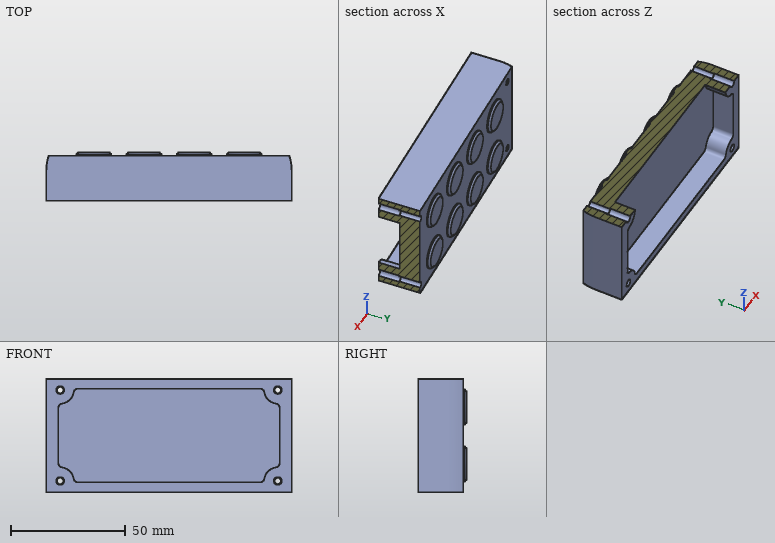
import cadquery as cq
import math

length = 107.6
height = 49.7
total_depth = 21.4
knob_height = 1.5
body_depth = total_depth - knob_height

end_curve_depth = 6.5
end_curve_inset = 1.1

pocket_margin_x = 5.3
pocket_margin_z = 4.3
pocket_depth = 10.0
pocket_corner_fillet = 2.0

hole_margin_x = 6.1
hole_margin_z = 5.0
hole_diameter = 2.8
hole_bore_diameter = 3.4
hole_bore_depth = pocket_depth
screw_post_diameter = 11.9

knob_diameter = 15.4
knob_chamfer = 1.0
knob_columns = 4
knob_rows = 2
knob_pitch_x = 22.0
knob_pitch_z = 25.0


def make_body():
    """Block extruded along Z whose ends curve in tangentially at the +Y side."""
    half_length = length / 2
    curve_start_y = body_depth - end_curve_depth
    radius = (end_curve_depth**2 + end_curve_inset**2) / (2 * end_curve_inset)
    mid_angle = math.asin(end_curve_depth / radius) / 2
    mid_x = half_length - radius * (1 - math.cos(mid_angle))
    mid_y = curve_start_y + radius * math.sin(mid_angle)
    top_x = half_length - end_curve_inset
    return (
        cq.Workplane("XY")
        .moveTo(-half_length, 0)
        .lineTo(half_length, 0)
        .lineTo(half_length, curve_start_y)
        .threePointArc((mid_x, mid_y), (top_x, body_depth))
        .lineTo(-top_x, body_depth)
        .threePointArc((-mid_x, mid_y), (-half_length, curve_start_y))
        .close()
        .extrude(height / 2, both=True)
    )


def at_corners(shape):
    """Copies of a shape, built along the Y axis, moved to the four screw positions."""
    x = length / 2 - hole_margin_x
    z = height / 2 - hole_margin_z
    copies = cq.Workplane("XZ")
    for sign_x in (-1, 1):
        for sign_z in (-1, 1):
            copies = copies.add(shape.translate((sign_x * x, 0, sign_z * z)))
    return copies.combine()


def cylinder(diameter, depth):
    """Cylinder along +Y from the plane y = 0."""
    return cq.Workplane("XZ").circle(diameter / 2).extrude(-depth)


def make_pocket():
    """Rectangular pocket with the four screw posts left standing in its corners."""
    pocket = cq.Workplane("XZ").rect(length - 2 * pocket_margin_x, height - 2 * pocket_margin_z)
    pocket = pocket.extrude(-pocket_depth)
    pocket = pocket.cut(at_corners(cylinder(screw_post_diameter, pocket_depth)))
    return pocket.edges("|Y").fillet(pocket_corner_fillet)


def make_screw_hole():
    """Through hole with a wider bore entering from the open face."""
    return cylinder(hole_diameter, body_depth).union(cylinder(hole_bore_diameter, hole_bore_depth))


def make_knobs():
    """Grid of chamfered round knobs on the +Y face."""
    return (
        cq.Workplane("XZ", origin=(0, body_depth, 0))
        .rarray(knob_pitch_x, knob_pitch_z, knob_columns, knob_rows)
        .circle(knob_diameter / 2)
        .extrude(-knob_height)
        .faces(">Y")
        .chamfer(knob_chamfer)
    )


result = make_body().union(make_knobs()).cut(make_pocket()).cut(at_corners(make_screw_hole()))